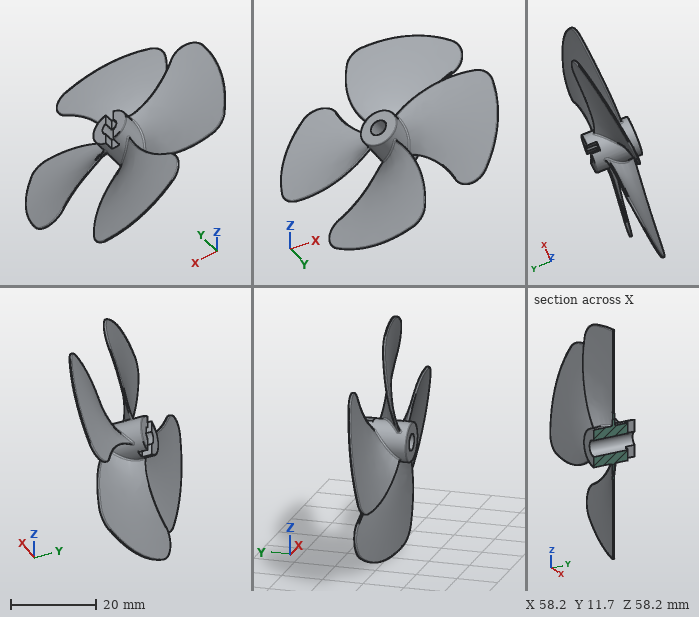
import cadquery as cq
import math

hub_length = 11.65
hub_radius = 4.85
hub_end_fillet = 0.2
bore_radius = 2.05
slot_width = 2.2
slot_depth = 2.45

blade_count = 4
tip_radius = 29.1
pitch = 26.8
blade_thickness = 0.6
blade_offset_y = -0.495
edge_rounding = 0.25
root_fillet = 0.35

leading_center = (14.6, 21.1)
leading_radius = 25.25
trailing_center = (26.3, -5.8)
trailing_radius = 24.45
corner_radius = 5.0

root_z = 2.9

patch_inner_radius = 2.3
patch_outer_radius = tip_radius + 1.15
patch_start_angle = -62.0
patch_end_angle = 58.0
patch_steps = 12
surface_tolerance = 0.001

on_surface_gap = 0.005


def y_cylinder(center, radius, length):
    """Cylinder along Y, centred on y = 0, with its axis at the given (x, z)."""
    x, z = center
    base = cq.Vector(x, -length / 2, z)
    return cq.Workplane(cq.Solid.makeCylinder(radius, length, base, cq.Vector(0, 1, 0)))


def make_hub():
    hub = y_cylinder((0, 0), hub_radius, hub_length)
    return hub.faces("<Y or >Y").edges().fillet(hub_end_fillet)


def helicoid_point(radius, angle, offset):
    """Point of the helicoid moved by offset along its normal; angle runs from +Z toward +X."""
    rise_per_radian = pitch / (2 * math.pi)
    slant = math.hypot(radius, rise_per_radian)
    tangential_shift = -offset * rise_per_radian / slant
    axial_shift = offset * radius / slant
    return cq.Vector(
        radius * math.sin(angle) + tangential_shift * math.cos(angle),
        rise_per_radian * angle + axial_shift + blade_offset_y,
        radius * math.cos(angle) - tangential_shift * math.sin(angle),
    )


def helicoid_face(offset):
    """Smooth face through a grid of helicoid points."""
    radius_step = (patch_outer_radius - patch_inner_radius) / patch_steps
    angle_step = (patch_end_angle - patch_start_angle) / patch_steps
    radii = [patch_inner_radius + radius_step * i for i in range(patch_steps + 1)]
    angles = [math.radians(patch_start_angle + angle_step * i) for i in range(patch_steps + 1)]
    grid = [[helicoid_point(radius, angle, offset) for angle in angles] for radius in radii]
    return cq.Face.makeSplineApprox(grid, tol=surface_tolerance)


def helicoid_slab():
    """Solid between the two blade surfaces, closed by ruled faces along their borders."""
    front = helicoid_face(-blade_thickness / 2)
    back = helicoid_face(blade_thickness / 2)
    faces = [front, back]
    for front_edge in front.Edges():
        middle = front_edge.Center()
        back_edge = min(back.Edges(), key=lambda edge: (edge.Center() - middle).Length)
        faces.append(cq.Face.makeRuledSurface(front_edge, back_edge))
    return cq.Workplane(cq.Solid.makeSolid(cq.Shell.makeShell(faces)))


def outline_prism():
    """Blade outline extruded along Y: the tip disc trimmed by the leading and trailing arcs."""
    tip_disc = y_cylinder((0, 0), tip_radius, hub_length)
    leading_disc = y_cylinder(leading_center, leading_radius, hub_length)
    trailing_disc = y_cylinder(trailing_center, trailing_radius, 2 * hub_length)
    above_root = (
        cq.Workplane()
        .box(2 * tip_radius, hub_length, tip_radius, centered=(True, True, False))
        .translate((0, 0, root_z))
    )
    prism = tip_disc.intersect(leading_disc).intersect(above_root).cut(trailing_disc).solids(">Z")
    outer_half = cq.selectors.BoxSelector(
        (-tip_radius, -hub_length, tip_radius / 2),
        (tip_radius, hub_length, tip_radius),
    )
    return prism.edges("|Y").edges(outer_half).fillet(corner_radius)


def is_rim(edge):
    """True for edges along the outline, not for those across the thickness or at the inner end."""
    follows_outline = edge.Length() > 2 * blade_thickness
    return follows_outline and edge.BoundingBox().zmax > root_z + blade_thickness


def make_blade():
    blade = helicoid_slab().intersect(outline_prism())
    return blade.edges().filter(is_rim).fillet(edge_rounding)


def is_blade_root(edge):
    """True for edges where a blade meets the hub's round side."""
    samples = [edge.positionAt(t) for t in (0, 0.3, 0.7, 1)]
    on_hub = all(abs(math.hypot(p.x, p.z) - hub_radius) < on_surface_gap for p in samples)
    clear_of_ends = abs(edge.Center().y) < hub_length / 2 - 2 * hub_end_fillet
    is_seam = edge.geomType() == "LINE"
    return on_hub and clear_of_ends and not is_seam


def add_blades(hub):
    body = hub
    blade = make_blade()
    for i in range(blade_count):
        body = body.union(blade.rotate((0, 0, 0), (0, 1, 0), i * 360 / blade_count))
    return body.edges().filter(is_blade_root).fillet(root_fillet)


def cut_bore_and_slot(body):
    bore = y_cylinder((0, 0), bore_radius, 2 * hub_length)
    slot = (
        cq.Workplane()
        .box(slot_width, 2 * slot_depth, 4 * hub_radius)
        .translate((0, hub_length / 2, 0))
    )
    return body.cut(bore).cut(slot)


result = cut_bore_and_slot(add_blades(make_hub()))